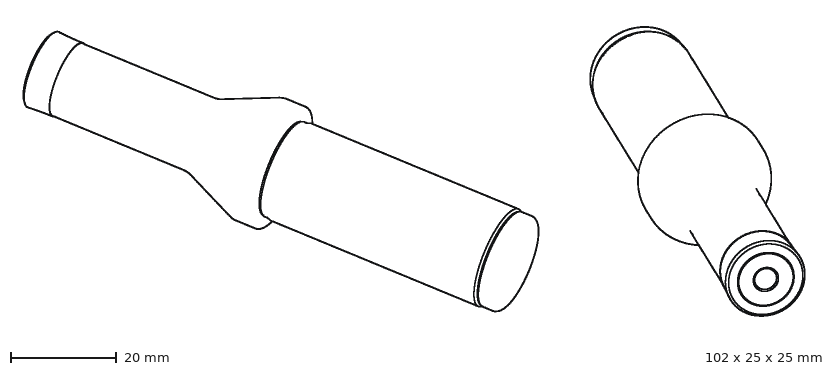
import cadquery as cq
import math

total_length = 102.0

head_length = 5.9
head_taper_end = 5.0
head_front_radius = 7.8
head_rear_radius = 7.5
head_edge_length = 0.6
head_edge_width = 0.5
face_rim_depth = 0.17
ridge_radius = 5.5
ridge_inner_radius = 5.3
ridge_step = 0.1
valley_radius = 3.6
valley_depth = 0.12
pit_rim_radius = 2.4
pit_radius = 2.1
pit_rim_depth = 0.08
pit_depth = 0.3

neck_radius = 14.9 / 2
neck_blend_start = 34.0
neck_blend_end = 35.8
flare_angle = math.radians(22.9)

collar_radius = 25.0 / 2
collar_blend_start = 46.4
collar_blend_end = 47.3
collar_rear = 51.9
collar_rear_round = 0.5

shank_radius = 20.0 / 2
relief_radius = 19.5 / 2
relief_groove_radius = 9.6
relief_groove_end = 52.3
relief_end = 53.0
shank_start = 53.9
shank_end = 98.1
tail_radius = 19.5 / 2
tail_start = 98.9
tail_groove_radius = 9.6
tail_groove_start = 98.6
tail_round = 1.0


def revolve_about_x(outline):
    """Close an outline given as (x, radius) and turn it around the X axis."""
    return outline.close().revolve(360, (0, 0, 0), (1, 0, 0))


def make_head():
    """Tapered head with a ridge, a ring-shaped valley and a pit in its face."""
    outline = (
        cq.Workplane("XY")
        .moveTo(pit_depth, 0)
        .lineTo(pit_depth, pit_radius)
        .lineTo(pit_rim_depth, pit_rim_radius)
        .lineTo(valley_depth, valley_radius)
        .lineTo(0, ridge_inner_radius)
        .lineTo(ridge_step, ridge_radius)
        .lineTo(face_rim_depth, head_front_radius - head_edge_width)
        .lineTo(head_edge_length, head_front_radius)
        .lineTo(head_taper_end, head_rear_radius)
        .lineTo(head_length, head_rear_radius)
        .lineTo(head_length, 0)
    )
    return revolve_about_x(outline)


def make_holder():
    """Neck, flared collar and shank turned as one piece."""
    blend_tilt = math.tan(flare_angle / 2)
    cone_front_radius = neck_radius + (neck_blend_end - neck_blend_start) * blend_tilt
    cone_rear_radius = collar_radius - (collar_blend_end - collar_blend_start) * blend_tilt
    round_offset = collar_rear_round * (1 - math.sqrt(0.5))
    tail_offset = tail_round * (1 - math.sqrt(0.5))
    outline = (
        cq.Workplane("XY")
        .moveTo(head_length, 0)
        .lineTo(head_length, neck_radius)
        .lineTo(neck_blend_start, neck_radius)
        .tangentArcPoint((neck_blend_end, cone_front_radius), relative=False)
        .lineTo(collar_blend_start, cone_rear_radius)
        .tangentArcPoint((collar_blend_end, collar_radius), relative=False)
        .lineTo(collar_rear - collar_rear_round, collar_radius)
        .threePointArc(
            (collar_rear - round_offset, collar_radius - round_offset),
            (collar_rear, collar_radius - collar_rear_round),
        )
        .lineTo(collar_rear, relief_groove_radius)
        .lineTo(relief_groove_end, relief_radius)
        .lineTo(relief_end, relief_radius)
        .lineTo(shank_start, shank_radius)
        .lineTo(shank_end, shank_radius)
        .lineTo(tail_groove_start, tail_groove_radius)
        .lineTo(tail_start, tail_radius)
        .lineTo(total_length - tail_round, tail_radius)
        .threePointArc(
            (total_length - tail_offset, tail_radius - tail_offset),
            (total_length, tail_radius - tail_round),
        )
        .lineTo(total_length, 0)
    )
    return revolve_about_x(outline)


head = make_head()
holder = make_holder()
result = cq.Compound.makeCompound([head.val(), holder.val()])